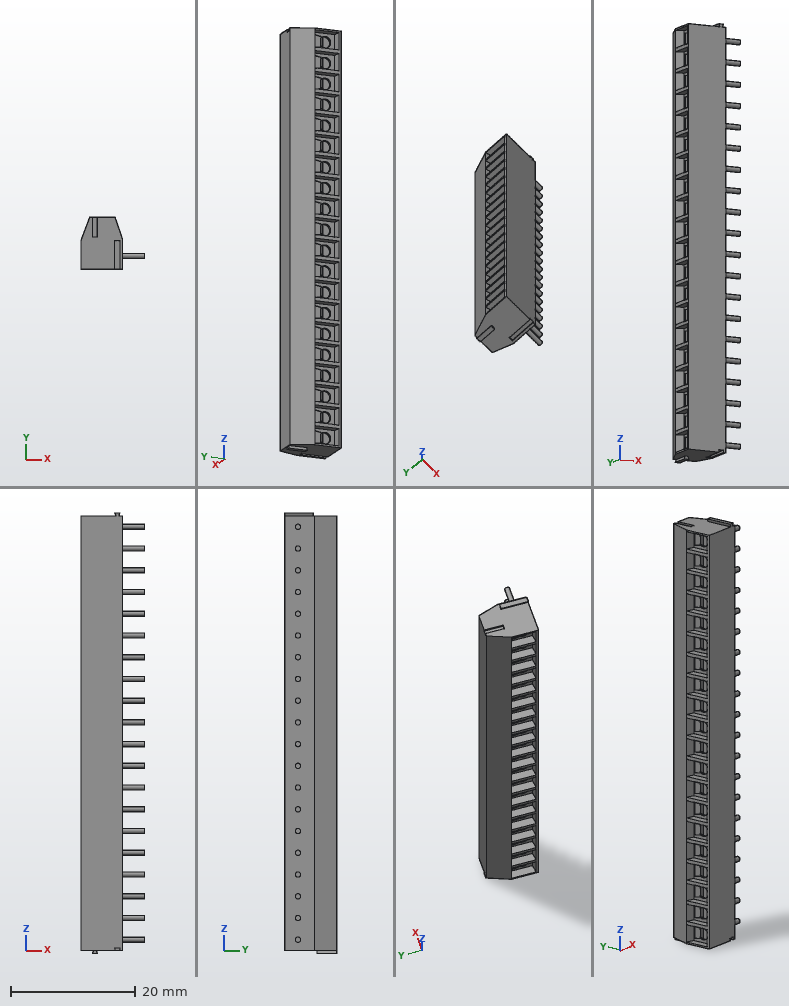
import cadquery as cq

pole_count = 20
overall_height = 70.95

dovetail_height = 0.5
dovetail_wide = 0.85
tab_root_width = 0.5
groove_mouth_width = 0.7
groove_depth = 0.4
low_dovetail_x = 5.9
low_dovetail_length = 4.6
high_dovetail_x = 2.3
high_dovetail_length = 3.2

body_width = 6.75
body_depth = 8.4
body_height = overall_height - 2 * dovetail_height
pitch = body_height / pole_count
entry_shoulder_y = 4.6
pin_shoulder_y = 4.8
entry_bevel = 1.4
pin_bevel = 1.2

pocket_height = 2.9
pocket_depth = 1.35
pocket_mouth_low_y = 0.4
pocket_mouth_high_y = entry_shoulder_y
pocket_floor_low_y = 0.65
pocket_floor_high_y = 4.2

hole_diameter = 1.9
hole_y = 2.3
hole_depth = 0.4
hole_flat_y = 2.55
step_y = 3.0
step_depth = 0.3
channel_depth = 0.15
channel_end_y = 4.05
channel_wide = 2.1
channel_narrow = 1.8

pin_diameter = 0.85
pin_length = 3.55
pin_y = 2.1


def make_body():
    """Housing profile with both upper edges bevelled, drawn in XY."""
    profile = [
        (0, 0),
        (body_width, 0),
        (body_width, pin_shoulder_y),
        (body_width - pin_bevel, body_depth),
        (entry_bevel, body_depth),
        (0, entry_shoulder_y),
    ]
    return cq.Workplane("XY").polyline(profile).close().extrude(body_height)


def dovetail(center_x, start_y, length, root_z, height, root_width):
    """Bar along Y that widens from root_z to root_z + height."""
    profile = [
        (center_x - root_width / 2, root_z),
        (center_x + root_width / 2, root_z),
        (center_x + dovetail_wide / 2, root_z + height),
        (center_x - dovetail_wide / 2, root_z + height),
    ]
    plane = cq.Workplane("XZ", origin=(0, start_y, 0))
    return plane.polyline(profile).close().extrude(-length)


def add_dovetails(body):
    """A tab on each end, and on the opposite end the groove it slides into."""
    high_start_y = body_depth - high_dovetail_length
    low = (low_dovetail_x, 0, low_dovetail_length)
    high = (high_dovetail_x, high_start_y, high_dovetail_length)
    body = body.union(dovetail(*low, body_height, dovetail_height, tab_root_width))
    body = body.union(dovetail(*high, 0, -dovetail_height, tab_root_width))
    body = body.cut(dovetail(*low, 0, groove_depth, groove_mouth_width))
    return body.cut(dovetail(*high, body_height, -groove_depth, groove_mouth_width))


def pocket_cut():
    """Pocket whose two Y walls close in towards its floor."""
    profile = [
        (0, pocket_mouth_low_y),
        (pocket_depth, pocket_floor_low_y),
        (pocket_depth, pocket_floor_high_y),
        (0, pocket_mouth_high_y),
    ]
    start = cq.Workplane("XY").workplane(offset=-pocket_height / 2)
    return start.polyline(profile).close().extrude(pocket_height)


def hole_segment(low_y, high_y, depth):
    """Part of the round hole between two Y values, sunk below the pocket floor."""
    floor = cq.Workplane("YZ", origin=(pocket_depth, 0, 0))
    disc = floor.center(hole_y, 0).circle(hole_diameter / 2).extrude(depth)
    band = floor.center((low_y + high_y) / 2, 0).rect(high_y - low_y, hole_diameter).extrude(depth)
    return disc.intersect(band)


def channel_cut():
    """Shallow channel that narrows from near the pocket wall to the hole."""
    outline = [
        (channel_end_y, -channel_wide / 2),
        (channel_end_y, channel_wide / 2),
        (step_y, channel_narrow / 2),
        (step_y, -channel_narrow / 2),
    ]
    floor = cq.Workplane("YZ", origin=(pocket_depth, 0, 0))
    return floor.polyline(outline).close().extrude(channel_depth)


def wire_entry():
    """Everything removed for one pole, centred on Z = 0."""
    hole_low_y = hole_y - hole_diameter / 2
    entry = pocket_cut().union(channel_cut())
    entry = entry.union(hole_segment(hole_low_y, hole_flat_y, hole_depth))
    return entry.union(hole_segment(hole_flat_y, step_y, step_depth))


def solder_pin():
    """Round pin standing on the +X face, centred on Z = 0."""
    face = cq.Workplane("ZY", origin=(body_width, 0, 0))
    return face.center(0, pin_y).circle(pin_diameter / 2).extrude(-pin_length)


result = add_dovetails(make_body())
entry = wire_entry()
pin = solder_pin()
for pole in range(pole_count):
    pole_center = (0, 0, (pole + 0.5) * pitch)
    result = result.cut(entry.translate(pole_center))
    result = result.union(pin.translate(pole_center))